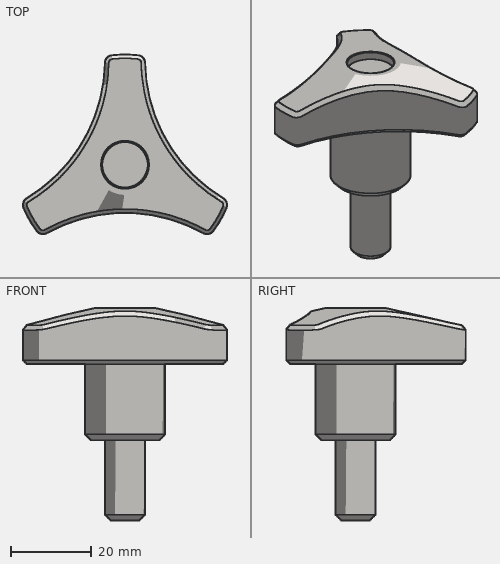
import cadquery as cq
import math

pin_diameter = 10.0
pin_length = 20.0
pin_chamfer = 1.5

hub_diameter = 20.0
hub_height = 19.0
hub_chamfer = 1.5

arm_count = 3
head_height = 14.0
head_radius = 27.5
flank_radius = 40.0
flank_depth = 12.0
corner_radius = 2.0
edge_chamfer = 1.0

land_radius = 7.5
tip_drop = 4.5

recess_diameter = 11.6
recess_depth = 2.0
recess_draft = 5.0
lip_chamfer = 0.2

hub_base = pin_length
head_base = hub_base + hub_height
head_top = head_base + head_height


def make_pin():
    pin = cq.Workplane("XY").circle(pin_diameter / 2).extrude(pin_length)
    return pin.faces("<Z").chamfer(pin_chamfer)


def make_hub():
    hub = cq.Workplane("XY", origin=(0, 0, hub_base)).circle(hub_diameter / 2).extrude(hub_height)
    return hub.faces("<Z").chamfer(hub_chamfer)


def make_domed_blank():
    """Round blank whose top is a flat land surrounded by a shallow cone."""
    profile = (
        cq.Workplane("XZ")
        .moveTo(0, head_base)
        .lineTo(head_radius, head_base)
        .lineTo(head_radius, head_top - tip_drop)
        .lineTo(land_radius, head_top)
        .lineTo(0, head_top)
        .close()
    )
    return profile.revolve(360, (0, 0), (0, 1))


def make_head():
    """Blank cut by one concave flank between each pair of arms; one arm points along +Y."""
    head = make_domed_blank()
    for index in range(arm_count):
        flank = (
            cq.Workplane("XY", origin=(0, 0, head_base))
            .center(0, -(flank_depth + flank_radius))
            .circle(flank_radius)
            .extrude(head_height)
            .rotate((0, 0, 0), (0, 0, 1), index * 360 / arm_count)
        )
        head = head.cut(flank)
    head = head.edges("|Z").fillet(corner_radius)
    head = head.faces("%CONE").edges("not (>Z or %LINE)").chamfer(edge_chamfer)
    return head.faces("<Z").edges().chamfer(edge_chamfer)


def make_recess():
    """Tapered pocket, widest at the mouth, with the chamfered lip on top of it."""
    lip_base = head_top - lip_chamfer
    wall_radius = recess_diameter / 2
    floor_radius = wall_radius - (recess_depth - lip_chamfer) * math.tan(math.radians(recess_draft))
    profile = (
        cq.Workplane("XZ")
        .moveTo(0, head_top - recess_depth)
        .lineTo(floor_radius, head_top - recess_depth)
        .lineTo(wall_radius, lip_base)
        .lineTo(wall_radius + lip_chamfer, head_top)
        .lineTo(0, head_top)
        .close()
    )
    return profile.revolve(360, (0, 0), (0, 1))


result = make_pin().union(make_hub()).union(make_head()).cut(make_recess())